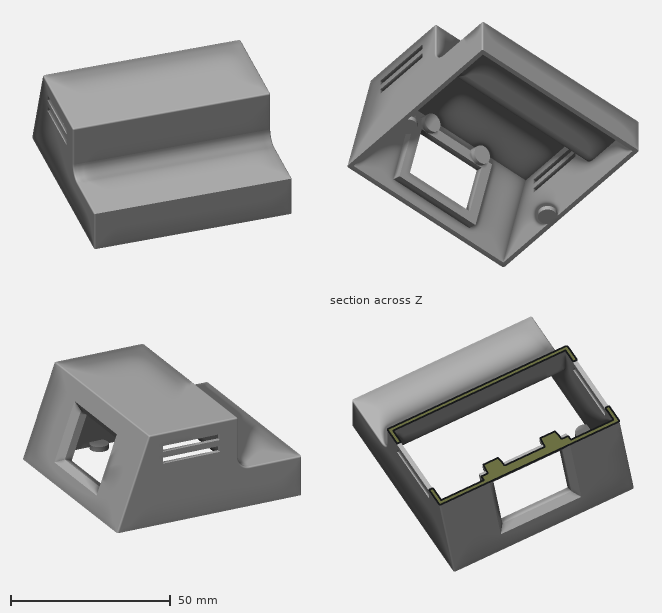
import cadquery as cq
import math

length = 64.8
width = 64.8
height = 31.0
wall = 1.5
low_height = 13.35
step_x = 10.1
slant = math.radians(20.0)
step_radius = 4.0
edge_radius = 0.5

window_z = 15.2
window_width = 28.9
window_height = 20.75
window_bevel = 2.1
frame_depth = 4.6
frame_rim = 1.2

post_diameter = 6.1
post_end_depth = 6.4
post_y = 10.25
post_rise = 11.4

slot_length = 20.1
slot_height = 2.0
slot_pitch = 4.0
slot_x = -6.35
lower_slot_z = 21.6
slot_count = 2

lug_diameter = 6.1
lug_height = 1.7
lug_x = -7.25
lug_y = 28.85

front_x = -length / 2
back_x = length / 2
embed = wall / 2


def stepped_prism(inset):
    """Stepped block with every face except the bottom moved inward by inset."""
    top_z = height - inset
    low_z = low_height - inset
    riser_x = step_x - inset
    front_foot_x = front_x + inset / math.cos(slant)
    body = (
        cq.Workplane("XZ")
        .moveTo(front_foot_x, 0)
        .lineTo(front_foot_x + top_z * math.tan(slant), top_z)
        .lineTo(riser_x, top_z)
        .lineTo(riser_x, low_z)
        .lineTo(back_x - inset, low_z)
        .lineTo(back_x - inset, 0)
        .close()
        .extrude(width / 2 - inset, both=True)
    )
    step_corner = cq.selectors.NearestToPointSelector((riser_x, 0, low_z))
    return body.edges("|Y").edges(step_corner).fillet(step_radius)


def make_shell():
    """Hollow housing; the bottom edges and the top back edge stay sharp."""
    outer = stepped_prism(0).edges("not(<Z or (|Y and >X))").fillet(edge_radius)
    return outer.cut(stepped_prism(wall))


front_plane = cq.Plane(
    origin=(front_x + window_z * math.tan(slant), 0, window_z),
    xDir=(0, 1, 0),
    normal=(math.cos(slant), 0, -math.sin(slant)),
)


def on_front(depth):
    """Workplane parallel to the slanted face at the given depth below it."""
    return cq.Workplane(front_plane).workplane(offset=depth)


def make_frame():
    """Thickened block of the front wall around the window."""
    return (
        on_front(embed)
        .rect(window_width + 2 * frame_rim, window_height + 2 * frame_rim)
        .extrude(frame_depth - embed)
    )


def make_posts():
    """Pair of mounting posts square to the slanted wall."""
    return (
        on_front(embed)
        .pushPoints([(-post_y, post_rise), (post_y, post_rise)])
        .circle(post_diameter / 2)
        .extrude(post_end_depth - embed)
    )


def make_lugs():
    """Low round lugs, one merged into each side wall."""
    return (
        cq.Workplane("XY")
        .pushPoints([(lug_x, -lug_y), (lug_x, lug_y)])
        .circle(lug_diameter / 2)
        .extrude(lug_height)
    )


def make_window():
    """Window cutter: a 45 degree bevel leading into a straight opening."""
    bevel = on_front(0).rect(window_width, window_height).extrude(window_bevel, taper=45)
    opening = (
        on_front(0)
        .rect(window_width - 2 * window_bevel, window_height - 2 * window_bevel)
        .extrude(frame_depth)
    )
    return bevel.union(opening)


def make_slots():
    """Vent slot cutters, each running across the full width."""
    return (
        cq.Workplane("XY", origin=(slot_x, 0, lower_slot_z + (slot_count - 1) * slot_pitch / 2))
        .transformed(rotate=(90, 0, 0))
        .rarray(slot_length, slot_pitch, 1, slot_count)
        .rect(slot_length, slot_height)
        .extrude(width, both=True)
    )


slotted_shell = make_shell().cut(make_slots())
result = (
    slotted_shell
    .union(make_frame())
    .union(make_posts())
    .union(make_lugs())
    .cut(make_window())
)